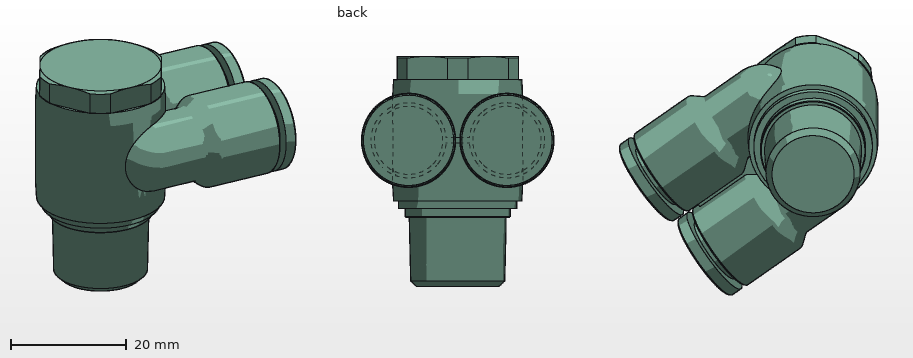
import cadquery as cq

TOTAL_HEIGHT = 39.8
STEM_CHAMFER_HEIGHT = 1.0
STEM_TOP = 12.0
LOWER_COLLAR_TOP = 13.5
BODY_BOTTOM = 14.8
BODY_TOP = 35.8
BODY_TAPER_HEIGHT = 2.5

STEM_TIP_RADIUS = 7.1
STEM_BOTTOM_RADIUS = 8.15
STEM_TOP_RADIUS = 8.4
LOWER_COLLAR_RADIUS = 9.1
LOWER_COLLAR_CHAMFER = 0.15
UPPER_COLLAR_RADIUS = 10.25
BODY_RADIUS = 11.25
BODY_END_RADIUS = 11.1

HEX_ACROSS_FLATS = 21.0
HEX_CHAMFER_HEIGHT = 0.3

PORT_OFFSET = 8.5
PORT_HEIGHT = (BODY_BOTTOM + BODY_TOP) / 2
PORT_END = 29.6
PORT_EDGE_CHAMFER = 0.25
RELEASE_RING_RADIUS = 8.05
RELEASE_RING_LENGTH = 2.1
NECK_RADIUS = 5.9
SLEEVE_RADIUS = 8.15
SLEEVE_END = 26.4
SLEEVE_START = 14.6
TUBE_RADIUS = 6.5
TUBE_END = 12.5
TUBE_START = 4.5
CONE_FILLET_RADIUS = 0.93

WEB_END = 24.6
WEB_THICKNESS = 1.0


def make_body():
    """Stem, collars and main barrel, turned about the Z axis."""
    profile = [
        (0, 0),
        (STEM_TIP_RADIUS, 0),
        (STEM_BOTTOM_RADIUS, STEM_CHAMFER_HEIGHT),
        (STEM_TOP_RADIUS, STEM_TOP),
        (LOWER_COLLAR_RADIUS - LOWER_COLLAR_CHAMFER, STEM_TOP),
        (LOWER_COLLAR_RADIUS, STEM_TOP + LOWER_COLLAR_CHAMFER),
        (LOWER_COLLAR_RADIUS, LOWER_COLLAR_TOP),
        (UPPER_COLLAR_RADIUS, LOWER_COLLAR_TOP),
        (UPPER_COLLAR_RADIUS, BODY_BOTTOM),
        (BODY_END_RADIUS, BODY_BOTTOM),
        (BODY_RADIUS, BODY_BOTTOM + BODY_TAPER_HEIGHT),
        (BODY_RADIUS, BODY_TOP - BODY_TAPER_HEIGHT),
        (BODY_END_RADIUS, BODY_TOP),
        (0, BODY_TOP),
    ]
    return cq.Workplane("XZ").polyline(profile).close().revolve(360, (0, 0), (0, 1))


def make_hex_head():
    """Hexagon with flats facing +X and -X, trimmed by a chamfered round blank."""
    head_height = TOTAL_HEIGHT - BODY_TOP
    hexagon = (
        cq.Workplane("XY")
        .workplane(offset=BODY_TOP)
        .polygon(6, HEX_ACROSS_FLATS, circumscribed=True)
        .extrude(head_height)
    )
    blank_profile = [
        (0, BODY_TOP),
        (BODY_RADIUS, BODY_TOP),
        (BODY_RADIUS, TOTAL_HEIGHT - HEX_CHAMFER_HEIGHT),
        (HEX_ACROSS_FLATS / 2, TOTAL_HEIGHT),
        (0, TOTAL_HEIGHT),
    ]
    blank = cq.Workplane("XZ").polyline(blank_profile).close().revolve(360, (0, 0), (0, 1))
    return hexagon.intersect(blank)


def make_port(x_position):
    """Port turned about an axis parallel to Y, closed by a ball at its inner end."""
    ring_start = PORT_END - RELEASE_RING_LENGTH
    barrel_profile = [
        (0, TUBE_START),
        (TUBE_RADIUS, TUBE_START),
        (TUBE_RADIUS, TUBE_END),
        (SLEEVE_RADIUS, SLEEVE_START),
        (SLEEVE_RADIUS, SLEEVE_END - PORT_EDGE_CHAMFER),
        (SLEEVE_RADIUS - PORT_EDGE_CHAMFER, SLEEVE_END),
        (NECK_RADIUS, SLEEVE_END),
        (NECK_RADIUS, ring_start),
        (RELEASE_RING_RADIUS, ring_start),
        (RELEASE_RING_RADIUS, PORT_END - PORT_EDGE_CHAMFER),
        (RELEASE_RING_RADIUS - PORT_EDGE_CHAMFER, PORT_END),
        (0, PORT_END),
    ]
    barrel = cq.Workplane("XY").polyline(barrel_profile).close().revolve(360, (0, 0), (0, 1))
    reach = 2 * SLEEVE_RADIUS
    cone_ends = cq.selectors.BoxSelector(
        (-reach, TUBE_END - CONE_FILLET_RADIUS, -reach),
        (reach, SLEEVE_START + CONE_FILLET_RADIUS, reach),
        boundingbox=True,
    )
    barrel = barrel.edges(cone_ends).edges("%CIRCLE").fillet(CONE_FILLET_RADIUS)
    ball = cq.Workplane("XY").sphere(TUBE_RADIUS).translate((0, TUBE_START, 0))
    return barrel.union(ball).translate((x_position, 0, PORT_HEIGHT))


def make_web():
    """Horizontal plate spanning the two port axes, from the body axis outwards."""
    return (
        cq.Workplane("XY")
        .box(2 * PORT_OFFSET, WEB_END, WEB_THICKNESS, centered=(True, False, True))
        .translate((0, 0, PORT_HEIGHT))
    )


result = make_body().union(make_hex_head()).union(make_web())
for side in (-1, 1):
    result = result.union(make_port(side * PORT_OFFSET))